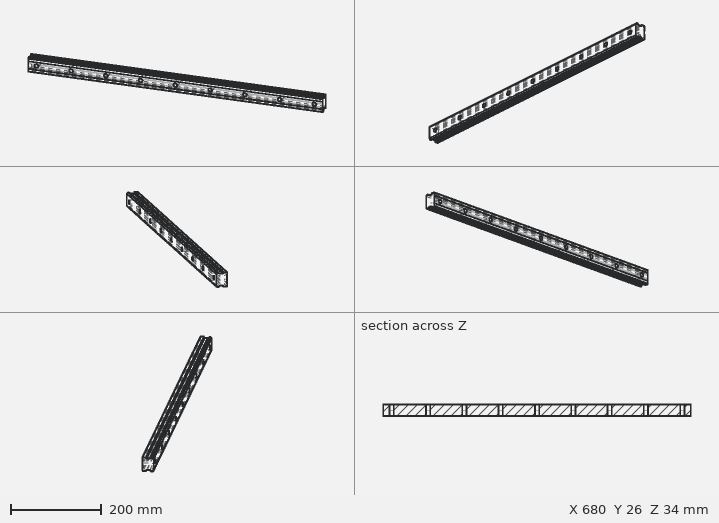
import cadquery as cq

length = 680.0
depth = 26.0
height = 34.0

hole_count = 9
hole_pitch = 80.0
hole_diameter = 9.0

base_thickness = 8.0
base_chamfer = 1.5
relief_half_width = 9.5
relief_slope = 0.35
relief_depth = 0.35
channel_half_width = 5.1
channel_slope = 1.7
channel_depth = 0.15

waist_height = 27.0
waist_end_y = 3.5
waist_bevel = 2.0

head_bevel = 3.05
head_tip_width = 2.0
head_slope_length = 3.5
head_slope_rise = 1.7

half_height = height / 2
half_waist = waist_height / 2
base_y = -depth / 2
head_y = depth / 2
head_tip_y = head_y - head_bevel
flange_y = base_y + base_thickness
relief_y = base_y + relief_depth
channel_y = relief_y + channel_depth


def upper_outline():
    """(y, z) corners of the upper half, from the base face round to the head face."""
    return [
        (channel_y, channel_half_width - channel_slope),
        (relief_y, channel_half_width),
        (relief_y, relief_half_width - relief_slope),
        (base_y, relief_half_width),
        (base_y, half_height - base_chamfer),
        (base_y + base_chamfer, half_height),
        (flange_y, half_height),
        (flange_y, half_waist + waist_bevel),
        (flange_y + waist_bevel, half_waist),
        (waist_end_y, half_waist),
        (waist_end_y + head_slope_length, half_waist + head_slope_rise),
        (head_tip_y - head_tip_width, half_height),
        (head_tip_y, half_height),
        (head_y, half_height - head_bevel),
    ]


def rail_body():
    upper = upper_outline()
    lower = [(y, -z) for y, z in reversed(upper)]
    profile = cq.Workplane("YZ").polyline(upper + lower).close()
    return profile.extrude(length / 2, both=True)


def mounting_holes():
    return (
        cq.Workplane("XZ")
        .rarray(hole_pitch, 7, hole_count, 1)
        .circle(hole_diameter / 2)
        .extrude(depth, both=True)
    )


result = rail_body().cut(mounting_holes())